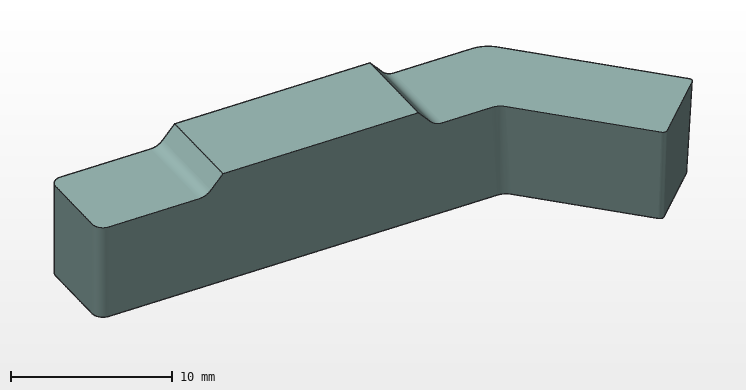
import cadquery as cq
import math

bar_width = 6.2
bar_height = 6.75
total_length = 40.1
end_radius = 0.75

bend_angle = math.radians(45)
bend_y = 30.7
arm_width = 6.1
arm_draft = 0.3
outer_bend_radius = 2.1
inner_bend_radius = 1.12
tip_radius = 0.3

total_height = 8.05
pad_front = 8.82
pad_back = 22.62
ramp_angle = math.radians(48)
ramp_foot_radius = 1.12

tip_trim = tip_radius * (math.sqrt(2) - 1)
arm_length = (total_length + tip_trim - bend_y) / math.cos(bend_angle)


def plan_corners(inset):
    """Sharp plan outline, with the three arm sides (outer, tip, inner) moved inward."""
    along = (math.sin(bend_angle), math.cos(bend_angle))
    outer_y = bend_y - inset / math.sin(bend_angle)
    width = arm_width - 2 * inset
    length = arm_length - inset + inset / math.tan(bend_angle)
    outer_tip = (along[0] * length, outer_y + along[1] * length)
    inner_tip = (outer_tip[0] + along[1] * width, outer_tip[1] - along[0] * width)
    inner_y = outer_y + bar_width / math.tan(bend_angle) - width / math.sin(bend_angle)
    return [
        (0, 0),
        (0, outer_y),
        outer_tip,
        inner_tip,
        (bar_width, inner_y),
        (bar_width, 0),
    ]


def make_body():
    """Bent bar with drafted arm sides and rounded upright edges."""
    bottom_corners = plan_corners(arm_draft)
    top_corners = plan_corners(0)
    body = (
        cq.Workplane("XY").polyline(bottom_corners).close()
        .workplane(offset=bar_height).polyline(top_corners).close()
        .loft(ruled=True)
    )
    radii = [end_radius, outer_bend_radius, tip_radius, tip_radius, inner_bend_radius, end_radius]
    for bottom, top, radius in zip(bottom_corners, top_corners, radii):
        middle = ((bottom[0] + top[0]) / 2, (bottom[1] + top[1]) / 2, bar_height / 2)
        edge = cq.selectors.NearestToPointSelector(middle)
        body = body.edges("not(#Z)").edges(edge).fillet(radius)
    return body


def make_pad():
    """Raised pad across the bar, with ramps that blend into the top face."""
    rise = total_height - bar_height
    ramp_run = rise / math.tan(ramp_angle)
    toe = ramp_foot_radius * math.tan(ramp_angle / 2)
    blend_run = ramp_foot_radius * math.sin(ramp_angle)
    sag = ramp_foot_radius * (1 - math.cos(ramp_angle))
    front_toe = pad_front - ramp_run - toe
    back_toe = pad_back + ramp_run + toe
    half_run = ramp_foot_radius * math.sin(ramp_angle / 2)
    half_sag = ramp_foot_radius * (1 - math.cos(ramp_angle / 2))
    return (
        cq.Workplane("YZ")
        .moveTo(front_toe, bar_height)
        .threePointArc((front_toe + half_run, bar_height + half_sag), (front_toe + blend_run, bar_height + sag))
        .lineTo(pad_front, total_height)
        .lineTo(pad_back, total_height)
        .lineTo(back_toe - blend_run, bar_height + sag)
        .threePointArc((back_toe - half_run, bar_height + half_sag), (back_toe, bar_height))
        .close()
        .extrude(bar_width)
    )


result = make_body().union(make_pad())